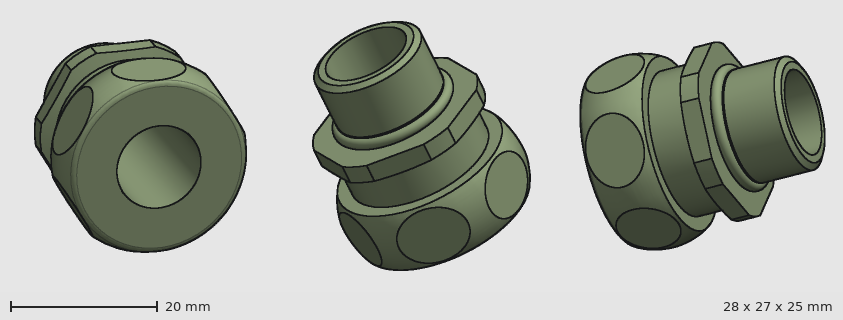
import cadquery as cq
import math

LENGTH = 27.95
GROOVE_START = 8.25
FLANGE_START = 10.05
FLANGE_CORNER_END = 12.75
FLANGE_END = 13.3
NUT_START = 18.5

BORE_RADIUS = 12.0 / 2
SPIGOT_RADIUS = 16.0 / 2
SPIGOT_TIP_RADIUS = 14.17 / 2
SPIGOT_CHAMFER_LENGTH = 0.61
GROOVE_RADIUS = 15.8 / 2
BODY_RADIUS = 20.5 / 2

RING_OUTER_RADIUS = 8.92
RING_SECTION_RADIUS = 0.8

FLANGE_ACROSS_FLATS = 22.95
FLANGE_CORNER_RADIUS = 24.45 / 2
NUT_ACROSS_FLATS = 25.0

NUT_MIDDLE_RADIUS = 13.5
NUT_FRONT_RADIUS = 12.25
NUT_END_FILLET = 0.8


def hexagon(start, end, across_flats):
    """Hexagonal prism along X."""
    across_corners = across_flats / math.cos(math.pi / 6)
    return (
        cq.Workplane("YZ")
        .workplane(offset=start)
        .polygon(6, across_corners)
        .extrude(end - start)
    )


def cylinder(start, end, radius):
    """Round section along X."""
    return cq.Workplane("YZ").workplane(offset=start).circle(radius).extrude(end - start)


def revolve_about_x(profile):
    return profile.revolve(360, (0, 0, 0), (1, 0, 0))


def spigot():
    """Threaded end, chamfered at the tip, with a shallow groove before the flange."""
    profile = (
        cq.Workplane("XY")
        .lineTo(0, SPIGOT_TIP_RADIUS)
        .lineTo(SPIGOT_CHAMFER_LENGTH, SPIGOT_RADIUS)
        .lineTo(GROOVE_START, SPIGOT_RADIUS)
        .lineTo(GROOVE_START, GROOVE_RADIUS)
        .lineTo(FLANGE_START, GROOVE_RADIUS)
        .lineTo(FLANGE_START, 0)
        .close()
    )
    return revolve_about_x(profile)


def sealing_ring():
    section = cq.Workplane("XY").center(
        FLANGE_START - RING_SECTION_RADIUS, RING_OUTER_RADIUS - RING_SECTION_RADIUS
    ).circle(RING_SECTION_RADIUS)
    axis_offset = RING_SECTION_RADIUS - RING_OUTER_RADIUS
    return section.revolve(360, (0, axis_offset, 0), (1, axis_offset, 0))


def flange():
    """Hexagon with turned corners and a conical back face."""
    profile = (
        cq.Workplane("XY")
        .moveTo(FLANGE_START, 0)
        .lineTo(FLANGE_START, FLANGE_CORNER_RADIUS)
        .lineTo(FLANGE_CORNER_END, FLANGE_CORNER_RADIUS)
        .lineTo(FLANGE_END, BODY_RADIUS)
        .lineTo(FLANGE_END, 0)
        .close()
    )
    prism = hexagon(FLANGE_START, FLANGE_END, FLANGE_ACROSS_FLATS)
    return revolve_about_x(profile).intersect(prism)


def nut():
    """Barrel with a rounded back rim, cut by six flats."""
    profile = (
        cq.Workplane("XY")
        .moveTo(NUT_START, 0)
        .lineTo(NUT_START, NUT_FRONT_RADIUS)
        .threePointArc(((NUT_START + LENGTH) / 2, NUT_MIDDLE_RADIUS), (LENGTH, NUT_FRONT_RADIUS))
        .lineTo(LENGTH, 0)
        .close()
    )
    barrel = revolve_about_x(profile).faces(">X").edges().fillet(NUT_END_FILLET)
    return barrel.intersect(hexagon(NUT_START, LENGTH, NUT_ACROSS_FLATS))


body = cylinder(FLANGE_START, NUT_START, BODY_RADIUS)
bore = cylinder(0, LENGTH, BORE_RADIUS)

result = spigot().union(sealing_ring()).union(body).union(flange()).union(nut()).cut(bore)